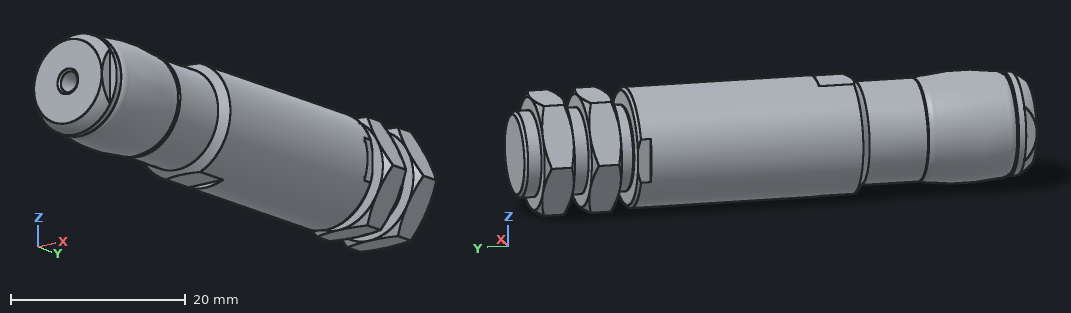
import cadquery as cq
import math

length = 60.5

housing_radius = 14.0 / 2
stud_radius = 10.0 / 2
neck_radius = 12.0 / 2
neck_front_y = 12.95
shoulder_front_y = 20.0
housing_rear_y = 47.55
shoulder_chamfer = housing_radius - neck_radius
rear_chamfer = 0.35
edge_chamfer = 0.2

across_flats = 13.0
top_flat_end_y = 25.1
side_flat_start_y = 46.05

nut_thickness = 3.55
nut_start_ys = [49.4, 55.0]
nut_corner_radius = across_flats / 2 / math.cos(math.pi / 6)
nut_face_radius = across_flats / 2
nut_chamfer_height = (nut_corner_radius - nut_face_radius) * math.tan(math.pi / 6)

grip_front_y = 2.55
grip_end_radius = 5.8
grip_shoulder_radius = 6.2
grip_middle_radius = 6.55
grip_shoulder_length = 1.0
grip_middle_y = (grip_front_y + neck_front_y) / 2
shoulder_bulge = 0.1

nose_ring_front_y = 1.5
nose_tip_radius = 10.0 / 2
nose_flank_y = nose_ring_front_y / 2
nose_flank_radius = 5.55
nose_across_flats = 10.05
hole_mouth_radius = 1.5
hole_radius = 2.5 / 2
hole_bottom_radius = 1.3 / 2
hole_chamfer = hole_mouth_radius - hole_radius
hole_depth = 2.35


def revolve(profile):
    """Turn a closed (radius, y) profile round the Y axis."""
    return profile.close().revolve(360, (0, 0, 0), (0, 1, 0))


def y_block(start_y, end_y, size_x, size_z):
    """Box centred on the Y axis, between two Y positions."""
    block = cq.Workplane("XY").box(size_x, end_y - start_y, size_z)
    return block.translate((0, (start_y + end_y) / 2, 0))


def make_housing():
    """Turned housing, neck and stud with two pairs of wrench flats."""
    body = revolve(
        cq.Workplane("XY")
        .moveTo(0, neck_front_y)
        .lineTo(neck_radius - edge_chamfer, neck_front_y)
        .lineTo(neck_radius, neck_front_y + edge_chamfer)
        .lineTo(neck_radius, shoulder_front_y)
        .lineTo(housing_radius, shoulder_front_y + shoulder_chamfer)
        .lineTo(housing_radius, housing_rear_y - rear_chamfer)
        .lineTo(housing_radius - rear_chamfer, housing_rear_y)
        .lineTo(stud_radius - edge_chamfer, housing_rear_y)
        .lineTo(stud_radius, housing_rear_y + edge_chamfer)
        .lineTo(stud_radius, length - rear_chamfer)
        .lineTo(stud_radius - rear_chamfer, length)
        .lineTo(0, length)
    )
    wide = 4 * housing_radius
    top_waste = y_block(shoulder_front_y, top_flat_end_y, wide, wide).cut(
        y_block(shoulder_front_y, top_flat_end_y, wide, across_flats)
    )
    side_waste = y_block(side_flat_start_y, housing_rear_y, wide, wide).cut(
        y_block(side_flat_start_y, housing_rear_y, across_flats, wide)
    )
    return body.cut(top_waste).cut(side_waste)


def make_nut(start_y):
    """Hexagon nut with corners on X, chamfered on both faces and bored for the stud."""
    end_y = start_y + nut_thickness
    hexagon = (
        cq.Workplane("XZ", origin=(0, end_y, 0))
        .polygon(6, 2 * nut_corner_radius)
        .extrude(nut_thickness)
    )
    envelope = revolve(
        cq.Workplane("XY")
        .moveTo(stud_radius, start_y)
        .lineTo(nut_face_radius, start_y)
        .lineTo(nut_corner_radius, start_y + nut_chamfer_height)
        .lineTo(nut_corner_radius, end_y - nut_chamfer_height)
        .lineTo(nut_face_radius, end_y)
        .lineTo(stud_radius, end_y)
    )
    return hexagon.intersect(envelope)


def make_grip():
    """Barrel with a long shallow bulge and rounded shoulders at both ends."""
    front_shoulder_y = grip_front_y + grip_shoulder_length
    rear_shoulder_y = neck_front_y - grip_shoulder_length
    shoulder_middle_radius = (grip_end_radius + grip_shoulder_radius) / 2 + shoulder_bulge
    half_shoulder = grip_shoulder_length / 2
    return revolve(
        cq.Workplane("XY")
        .moveTo(0, grip_front_y)
        .lineTo(grip_end_radius, grip_front_y)
        .threePointArc(
            (shoulder_middle_radius, grip_front_y + half_shoulder),
            (grip_shoulder_radius, front_shoulder_y),
        )
        .threePointArc(
            (grip_middle_radius, grip_middle_y),
            (grip_shoulder_radius, rear_shoulder_y),
        )
        .threePointArc(
            (shoulder_middle_radius, neck_front_y - half_shoulder),
            (grip_end_radius, neck_front_y),
        )
        .lineTo(0, neck_front_y)
    )


def make_nose():
    """End ring with a rounded, flatted tip and a tapering blind hole."""
    body = revolve(
        cq.Workplane("XY")
        .moveTo(0, hole_depth)
        .lineTo(hole_bottom_radius, hole_depth)
        .lineTo(hole_radius, hole_chamfer)
        .lineTo(hole_mouth_radius, 0)
        .lineTo(nose_tip_radius, 0)
        .threePointArc(
            (nose_flank_radius, nose_flank_y),
            (neck_radius, nose_ring_front_y),
        )
        .lineTo(neck_radius, grip_front_y - edge_chamfer)
        .lineTo(neck_radius - edge_chamfer, grip_front_y)
        .lineTo(0, grip_front_y)
    )
    wide = 4 * neck_radius
    waste = y_block(0, nose_ring_front_y, wide, wide).cut(
        y_block(0, nose_ring_front_y, nose_across_flats, wide)
    )
    return body.cut(waste)


housing = make_housing()
nuts = [make_nut(start_y) for start_y in nut_start_ys]
grip = make_grip()
nose = make_nose()

result = cq.Compound.makeCompound(
    [housing.val(), *[nut.val() for nut in nuts], grip.val(), nose.val()]
)